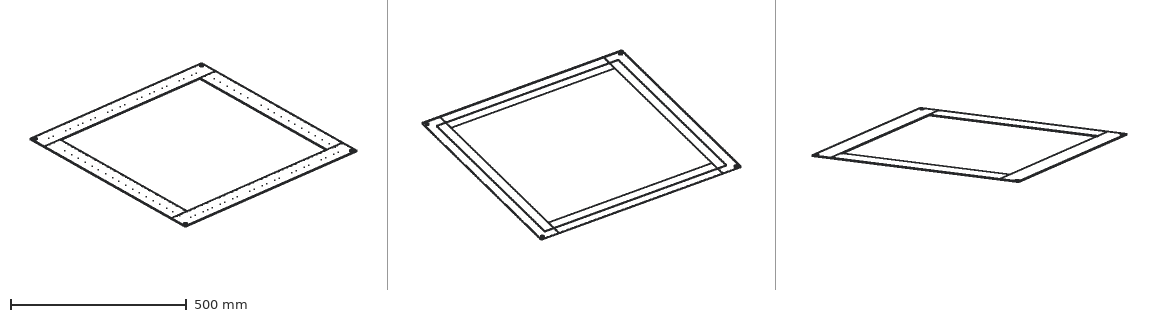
import cadquery as cq

length = 665.0
width = 650.0
total_thickness = 4.8

panel_thickness = 1.6
strip_thickness = total_thickness - panel_thickness
strip_width = 60.0
panel_margin = strip_width / 2

hole_diameter = 10.0
hole_inset = 10.0


def plate(size_x, size_y, thickness, bottom):
    """Flat rectangular plate centred on the Z axis, with its underside at `bottom`."""
    return (
        cq.Workplane("XY", origin=(0, 0, bottom))
        .box(size_x, size_y, thickness, centered=(True, True, False))
    )


def make_panel():
    """Plain sheet whose rim lies under the border strips."""
    return plate(length - 2 * panel_margin, width - 2 * panel_margin, panel_thickness, 0)


def make_side_strip(side):
    """Full-width strip along the -X (side = -1) or +X (side = 1) edge, with its two end holes."""
    hole_x = side * (strip_width / 2 - hole_inset)
    hole_y = width / 2 - hole_inset
    strip = (
        plate(strip_width, width, strip_thickness, panel_thickness)
        .faces(">Z")
        .workplane(centerOption="CenterOfBoundBox")
        .pushPoints([(hole_x, -hole_y), (hole_x, hole_y)])
        .hole(hole_diameter)
    )
    return strip.translate((side * (length - strip_width) / 2, 0, 0))


def make_cross_strip(side):
    """Strip between the side strips, along the -Y (side = -1) or +Y (side = 1) edge."""
    strip = plate(length - 2 * strip_width, strip_width, strip_thickness, panel_thickness)
    return strip.translate((0, side * (width - strip_width) / 2, 0))


panel = make_panel()
side_strips = [make_side_strip(side) for side in (-1, 1)]
cross_strips = [make_cross_strip(side) for side in (-1, 1)]

bodies = [panel, *side_strips, *cross_strips]
result = cq.Compound.makeCompound([body.val() for body in bodies])